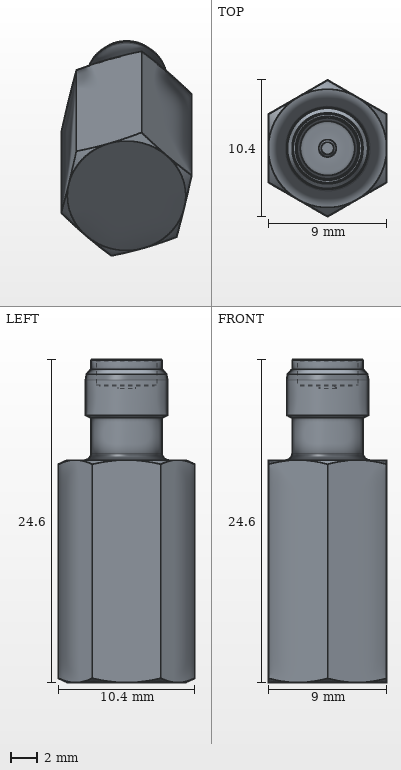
import cadquery as cq
import math

total_height = 24.6

across_flats = 9.0
across_corners = across_flats / math.cos(math.radians(30))
body_height = 16.92
corner_drop = 0.32

neck_radius = 2.7
neck_fillet = 0.52
thread_radius = 3.12
thread_lead_radius = 3.05
lip_chamfer = 0.1
lip_height = 0.76
thread_lead_depth = 1.13
thread_taper_depth = 1.57
thread_bottom_depth = 4.25
undercut_depth = 4.48

bore_radius = 2.31
bore_chamfer = 0.12
bore_depth = 1.95
insulator_radius = 2.07
insulator_recess = 0.07
contact_radius = 0.66
contact_chamfer = 0.2


def revolve_profile(points):
    """Revolve a closed (radius, height) outline around the Z axis."""
    return cq.Workplane("XZ").polyline(points).close().revolve(360, (0, 0), (0, 1))


def make_hex_body():
    prism = (
        cq.Workplane("XY")
        .polygon(6, across_corners)
        .extrude(body_height)
        .rotate((0, 0, 0), (0, 0, 1), 30)
    )
    face_radius = across_flats / 2
    corner_radius = across_corners / 2
    envelope = revolve_profile([
        (0, 0),
        (face_radius, 0),
        (corner_radius, corner_drop),
        (corner_radius, body_height - corner_drop),
        (face_radius, body_height),
        (0, body_height),
    ])
    return prism.intersect(envelope)


def make_barrel():
    fillet_top = body_height + neck_fillet
    fillet_radius = neck_radius + neck_fillet
    arc_offset = neck_fillet * math.sin(math.radians(45))
    arc_middle = (fillet_radius - arc_offset, fillet_top - arc_offset)
    return (
        cq.Workplane("XZ")
        .moveTo(0, body_height)
        .lineTo(fillet_radius, body_height)
        .threePointArc(arc_middle, (neck_radius, fillet_top))
        .lineTo(neck_radius, total_height - undercut_depth)
        .lineTo(thread_radius, total_height - thread_bottom_depth)
        .lineTo(thread_radius, total_height - thread_taper_depth)
        .lineTo(thread_lead_radius, total_height - thread_lead_depth)
        .lineTo(neck_radius, total_height - lip_height)
        .lineTo(neck_radius, total_height - lip_chamfer)
        .lineTo(neck_radius - lip_chamfer, total_height)
        .lineTo(0, total_height)
        .close()
        .revolve(360, (0, 0), (0, 1))
    )


def make_socket():
    """Bore, insulator recess and the groove left by the chamfered contact tip."""
    bore_floor = total_height - bore_depth
    insulator_face = bore_floor - insulator_recess
    return revolve_profile([
        (0, total_height),
        (bore_radius + bore_chamfer, total_height),
        (bore_radius, total_height - bore_chamfer),
        (bore_radius, bore_floor),
        (insulator_radius, bore_floor),
        (insulator_radius, insulator_face),
        (contact_radius, insulator_face),
        (contact_radius, insulator_face - contact_chamfer),
        (contact_radius - contact_chamfer, insulator_face),
        (0, insulator_face),
    ])


result = make_hex_body().union(make_barrel()).cut(make_socket())